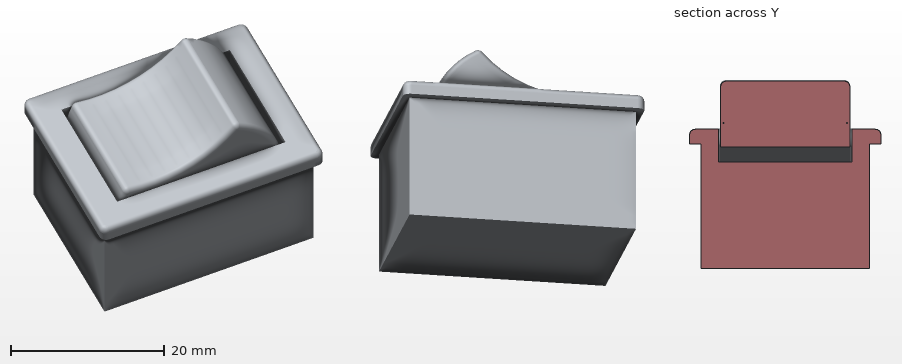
import cadquery as cq
import math

flange_width = 25.0
flange_length = 32.0
flange_thickness = 2.0
flange_corner_radius = 1.0
flange_edge_radius = 0.77

body_width = 22.0
body_length = 30.0
body_bottom_depth = 18.25

rocker_radius = 12.0
rocker_edge_radius = 0.77
rocker_tilt = 18.5
pivot_depth = 4.3
crest_half_angle = 44.0
dish_radius = 16.0

opening_width = 17.28
side_clearance = 0.15
end_clearance = 0.1
rocker_width = opening_width - 2 * side_clearance
opening_length = 2 * (rocker_radius + end_clearance)
opening_depth = pivot_depth


def make_housing():
    """Body block and rounded flange, with the rocker opening cut into them."""
    flange = (
        cq.Workplane("XY", origin=(0, 0, -flange_thickness))
        .rect(flange_width, flange_length)
        .extrude(flange_thickness)
        .edges("|Z")
        .fillet(flange_corner_radius)
        .faces(">Z")
        .edges()
        .fillet(flange_edge_radius)
    )
    body = (
        cq.Workplane("XY", origin=(0, 0, -body_bottom_depth))
        .rect(body_width, body_length)
        .extrude(body_bottom_depth - flange_thickness)
    )
    opening = cq.Workplane("XY").rect(opening_width, opening_length).extrude(-opening_depth)
    return body.union(flange).cut(opening)


def make_rocker():
    """Half disc with a dished top between two crests, rounded and tilted about the pivot."""
    crest_y = rocker_radius * math.sin(math.radians(crest_half_angle))
    crest_z = rocker_radius * math.cos(math.radians(crest_half_angle))
    half_disc = (
        cq.Workplane("YZ")
        .moveTo(-rocker_radius, 0)
        .lineTo(rocker_radius, 0)
        .radiusArc((crest_y, crest_z), -rocker_radius)
        .radiusArc((-crest_y, crest_z), dish_radius)
        .radiusArc((-rocker_radius, 0), -rocker_radius)
        .close()
        .extrude(rocker_width / 2, both=True)
    )
    rounded = half_disc.edges("not(<Z)").fillet(rocker_edge_radius)
    return rounded.rotate((0, 0, 0), (1, 0, 0), rocker_tilt).translate((0, 0, -pivot_depth))


result = make_housing().union(make_rocker())